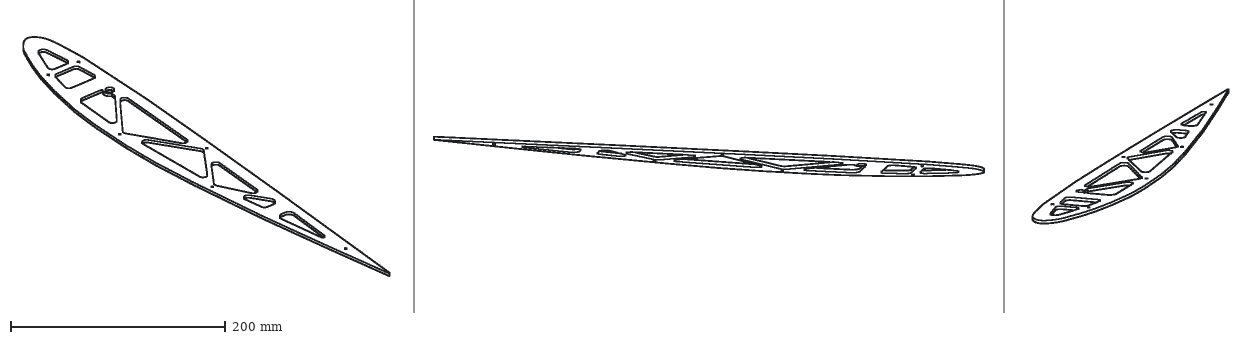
import cadquery as cq

chord = 531.0
thickness = 3.0
tip_height = 1.0
nose = (0, -9.5)

upper_skin = [
    (6.5, 0), (24.0, 6.0), (48, 9.0), (95.5, 10.5), (143.5, 11.0),
    (217.5, 10.0), (334.5, 7.0), (435.5, 3.5), (chord, 0),
]
lower_skin = [
    (5.5, -19.0), (24.0, -29.5), (48, -38.0), (95.5, -49.0), (132.5, -53.5), (170, -54.5),
    (217.5, -53.5), (286.5, -46.0), (382.5, -31.0), (chord, -tip_height),
]

corner_radius = 4.0
nose_bay_radius = 5.0
tail_bay_radius = 6.0
tail_tip_radius = 2.0

pin_radius = 1.0
nose_pin_x = 62.0
pin_centers = [
    (nose_pin_x, 1.5), (nose_pin_x, -34.5), (185.0, -46.5),
    (254.5, 1.5), (310.0, -36.0), (472.0, -6.0),
]

passage_center = (118.5, -6.0)
passage_radius = 4.0
passage_wall = 2.5

nose_bay_rear = 58.0
nose_bay = [
    (9.0, -11.5, nose_bay_radius),
    (nose_bay_rear, -4.0, corner_radius),
    (nose_bay_rear, -29.0, corner_radius),
]

box_bay_front = 66.0
box_bay_rear = 93.5
box_bay = [
    (box_bay_front, -3.5, corner_radius),
    (box_bay_rear, -0.5, nose_bay_radius),
    (box_bay_rear, -36.5, corner_radius),
    (box_bay_front, -31.0, corner_radius),
]

passage_bay_front = 113.5
passage_bay_radius = 7.0
passage_bay = [
    (passage_bay_front, -8.5, corner_radius),
    (129.5, -8.5, corner_radius),
    (175, -42.0, corner_radius),
    (passage_bay_front, -40.5, passage_bay_radius),
]

truss_bays = [
    [(127.5, -1.5, corner_radius), (244, -3.5, corner_radius), (185.0, -43.0, corner_radius)],
    [(254.0, -1.5, corner_radius), (301.0, -33.5, corner_radius), (196.0, -41.5, corner_radius)],
    [(267.5, -5.0, corner_radius), (354.5, -7.0, corner_radius), (309.0, -33.0, corner_radius)],
]

tail_bay_rear = 369.5
tail_bay = [
    (tail_bay_rear, 0, tail_bay_radius),
    (tail_bay_rear, -21, corner_radius),
    (326.5, -29.5, corner_radius),
]

tip_bay_front = 387.5
tip_bay = [
    (tip_bay_front, -5.0, tail_bay_radius),
    (460.0, -8.0, tail_tip_radius),
    (tip_bay_front, -22.0, tail_bay_radius),
]


def rounded_bay(corners):
    """Full-thickness polygon prism with each upright edge rounded by its own radius."""
    outline = [(x, y) for x, y, radius in corners]
    bay = cq.Workplane("XY").polyline(outline).close().extrude(thickness)
    for x, y, radius in corners:
        corner_edge = cq.selectors.NearestToPointSelector((x, y, thickness / 2))
        bay = bay.edges("|Z").edges(corner_edge).fillet(radius)
    return bay


def disc(center, radius):
    return cq.Workplane("XY").center(*center).circle(radius).extrude(thickness)


skin_curve = upper_skin[::-1] + [nose] + lower_skin
result = (
    cq.Workplane("XY")
    .moveTo(*skin_curve[0])
    .spline(skin_curve[1:], includeCurrent=True)
    .close()
    .extrude(thickness)
)

for bay_corners in [nose_bay, box_bay, tail_bay, tip_bay] + truss_bays:
    result = result.cut(rounded_bay(bay_corners))

passage_ring = disc(passage_center, passage_radius + passage_wall)
result = result.cut(rounded_bay(passage_bay).cut(passage_ring))
result = result.cut(disc(passage_center, passage_radius))

for pin_center in pin_centers:
    result = result.cut(disc(pin_center, pin_radius))